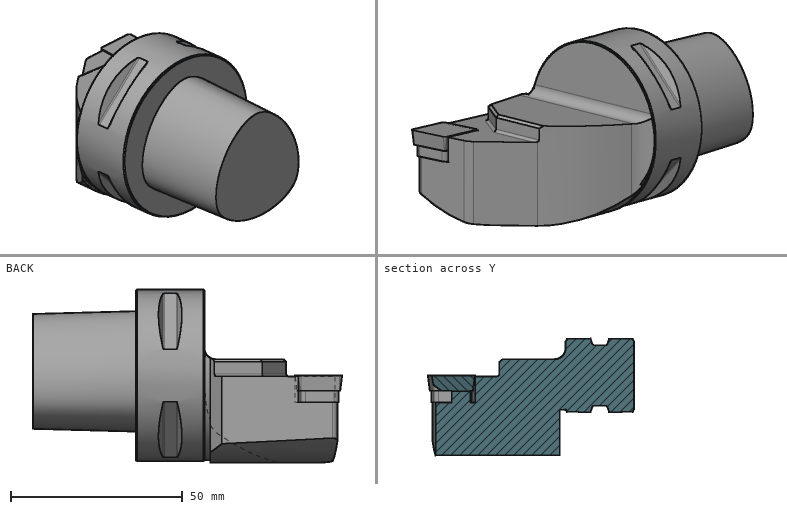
import cadquery as cq
import math


flange_diameter = 50.0
flange_radius = flange_diameter / 2
flange_length = 20.0
flange_chamfer = 0.4
neck_radius = 24.75
neck_length = 1.6

groove_count = 4
groove_floor_distance = 22.2
groove_floor_width = 4.0
groove_mouth_width = 6.8
groove_fillet = 0.45

shank_length = 30.0
shank_base_radius = 17.55
shank_end_radius = 16.7
shank_lobe = 1.2
shank_points = 48

insert_tip_x = -60.1
insert_tip_y = 35.1
insert_side = 12.9
insert_thickness = 4.5
insert_clearance_angle = 7.0
insert_corner_radius = 0.8
approach_angle = 5.0
shim_thickness = 3.3
shim_inset = 0.8
shim_corner_radius = 1.4

head_inset = 1.2
head_corner_radius = 1.4
nose_radius = 10.0 / 2
head_bottom_radius = 25.5
heel_radius = 46.8
heel_start_y = 8.6
deck_z = 4.8
shelf_z = -0.3
deck_fillet = 3.15
deck_chamfer = 0.8
foot_fillet = 0.8
clear = 54.0

flange_front = -flange_length
head_end = flange_front - neck_length
tilt = math.radians(approach_angle)
edge_slope = math.tan(tilt)


def rhombus(inset=0.0):
    """Corners of the insert outline, moved inward from all four sides; the cutting tip is first."""
    side = insert_side - 2 * inset / math.cos(2 * tilt)
    shift = inset / (math.cos(tilt) - math.sin(tilt))
    tip = (insert_tip_x + shift, insert_tip_y - shift)
    long_step = side * math.cos(tilt)
    short_step = side * math.sin(tilt)
    back = (tip[0] + long_step, tip[1] - short_step)
    front = (tip[0] + short_step, tip[1] - long_step)
    heel = (back[0] + short_step, back[1] - long_step)
    return [tip, back, heel, front]


def prism(points, bottom, height):
    return cq.Workplane("XY").workplane(offset=bottom).polyline(points).close().extrude(height)


def make_insert():
    outline = cq.Sketch().polygon(rhombus() + rhombus()[:1]).vertices().fillet(insert_corner_radius)
    return cq.Workplane("XY").placeSketch(outline).extrude(-insert_thickness, taper=insert_clearance_angle)


def make_flange():
    flange = cq.Workplane("YZ").circle(flange_radius).extrude(-flange_length).edges().chamfer(flange_chamfer)
    groove_depth = flange_radius - groove_floor_distance
    wall_slope = (groove_mouth_width - groove_floor_width) / 2 / groove_depth
    top = flange_radius + 0.9
    half_floor = groove_floor_width / 2
    half_top = half_floor + wall_slope * (top - groove_floor_distance)
    middle = flange_front / 2
    groove = (
        cq.Workplane("XZ")
        .polyline([
            (middle - half_floor, groove_floor_distance),
            (middle + half_floor, groove_floor_distance),
            (middle + half_top, top),
            (middle - half_top, top),
        ])
        .close()
        .extrude(flange_radius, both=True)
        .faces("<Z").edges("|Y").fillet(groove_fillet)
    )
    spacing = 360 / groove_count
    for index in range(groove_count):
        flange = flange.cut(groove.rotate((0, 0, 0), (1, 0, 0), spacing * (index + 0.5)))
    return flange


def lobed_point(mean_radius, angle):
    """Point on a constant-width three-lobed curve with one lobe toward +Z."""
    reach = mean_radius + shank_lobe * math.cos(3 * angle)
    slope = -3 * shank_lobe * math.sin(3 * angle)
    z = reach * math.cos(angle) - slope * math.sin(angle)
    y = reach * math.sin(angle) + slope * math.cos(angle)
    return (y, z)


def make_shank():
    angles = [2 * math.pi * index / shank_points for index in range(shank_points)]
    base = [lobed_point(shank_base_radius, angle) for angle in angles]
    end = [lobed_point(shank_end_radius, angle) for angle in angles]
    return (
        cq.Workplane("YZ")
        .spline(base, periodic=True).close()
        .workplane(offset=shank_length)
        .spline(end, periodic=True).close()
        .loft(ruled=True)
    )


def make_head_plan():
    """Head seen along Z, as a tall prism ending at the flange face."""
    corner_x, corner_y = rhombus(head_inset)[0]
    nose_y = 14.8
    nose = (corner_x + (corner_y - nose_y) * edge_slope, nose_y)
    shoulder_x = -25.0
    shoulder = (shoulder_x, corner_y - (shoulder_x - corner_x) * edge_slope)
    back_foot_x = -21.2
    side_arc_start = (-44.1, -0.5)
    side_arc_middle = (-33.5, -11.9)
    side_arc_end = (-23.85, -19.0)
    flare_middle = (-21.2, -21.6)
    plan = (
        cq.Workplane("XY").workplane(offset=-clear)
        .moveTo(corner_x, corner_y)
        .lineTo(*nose)
        .lineTo(*side_arc_start)
        .threePointArc(side_arc_middle, side_arc_end)
        .threePointArc(flare_middle, (flange_front, -flange_radius))
        .lineTo(flange_front, neck_radius)
        .lineTo(back_foot_x, neck_radius)
        .lineTo(*shoulder)
        .close()
        .extrude(2 * clear)
    )
    plan = plan.edges(cq.selectors.NearestToPointSelector((*nose, 0))).fillet(nose_radius)
    tip_edge = cq.selectors.NearestToPointSelector((corner_x, corner_y, 0))
    return plan.edges(tip_edge).fillet(head_corner_radius)


def make_head_section():
    """Head seen along X: round belly on the -Y side, shallower heel on the +Y side."""
    diagonal = head_bottom_radius * math.sqrt(0.5)
    top = deck_z + deck_fillet
    outer_y = 36.0

    def heel_point(y):
        drop = math.sqrt(heel_radius ** 2 - (y - heel_start_y) ** 2)
        return (y, heel_radius - head_bottom_radius - drop)

    return (
        cq.Workplane("YZ")
        .moveTo(-head_bottom_radius, top)
        .lineTo(-head_bottom_radius, 0)
        .threePointArc((-diagonal, -diagonal), (0, -head_bottom_radius))
        .lineTo(heel_start_y, -head_bottom_radius)
        .threePointArc(heel_point((heel_start_y + outer_y) / 2), heel_point(outer_y))
        .lineTo(outer_y, top)
        .close()
        .extrude(-2 * clear)
    )


def make_deck_cutter():
    """Space above the deck, rounded where the deck runs up into the flange face."""
    bend = deck_fillet * (1 - math.sqrt(0.5))
    return (
        cq.Workplane("XZ")
        .moveTo(-2 * clear, deck_z)
        .lineTo(flange_front - deck_fillet, deck_z)
        .threePointArc((flange_front - bend, deck_z + bend), (flange_front, deck_z + deck_fillet))
        .lineTo(flange_front, clear)
        .lineTo(-2 * clear, clear)
        .close()
        .extrude(clear, both=True)
    )


def make_shelf_cutter():
    """Space above the shelf, leaving the raised deck with its rounded foot and chamfered rim."""
    wall_x = -43.7
    bevel_end_x = -36.7
    bevel_end_y = 26.2
    deck = [
        (wall_x, -clear),
        (wall_x, 16.3),
        (bevel_end_x, bevel_end_y),
        (0, bevel_end_y - bevel_end_x * edge_slope),
        (0, -clear),
    ]
    rim_z = deck_z - deck_chamfer
    wall = prism(deck, shelf_z, rim_z - shelf_z)
    rim = cq.Workplane("XY").workplane(offset=rim_z).polyline(deck).close().extrude(deck_chamfer, taper=45)
    above_rim = (
        cq.Workplane("XY").workplane(offset=deck_z)
        .polyline(deck).close().offset2D(-deck_chamfer, "intersection")
        .extrude(clear)
    )
    space = cq.Workplane("XY").box(2 * clear, 2 * clear, clear, centered=(True, True, False))
    space = space.translate((flange_front - clear, 0, shelf_z)).cut(wall).cut(rim).cut(above_rim)
    foot_edges = cq.selectors.BoxSelector(
        (wall_x - 0.9, -clear / 2, shelf_z - 0.9),
        (flange_front - 0.9, bevel_end_y + 4.5, shelf_z + 0.9),
    )
    return space.edges(foot_edges).fillet(foot_fillet)


def make_head():
    head = make_head_plan().intersect(make_head_section())
    neck = cq.Workplane("YZ").workplane(offset=head_end).circle(neck_radius).extrude(neck_length)
    front_space = cq.Workplane("YZ").workplane(offset=head_end).rect(2 * clear, 2 * clear).extrude(-clear)
    head = head.intersect(neck.union(front_space))
    return head.cut(make_deck_cutter()).cut(make_shelf_cutter())


def make_holder(insert):
    pocket_depth = insert_thickness + shim_thickness
    pocket = prism(rhombus(), -pocket_depth, pocket_depth)
    shim = prism(rhombus(shim_inset), -pocket_depth, shim_thickness).edges("|Z").fillet(shim_corner_radius)
    holder = make_flange().union(make_shank()).union(make_head())
    return holder.cut(pocket).union(shim).cut(insert)


insert = make_insert()
holder = make_holder(insert)
result = cq.Compound.makeCompound([holder.solids().val(), insert.solids().val()])